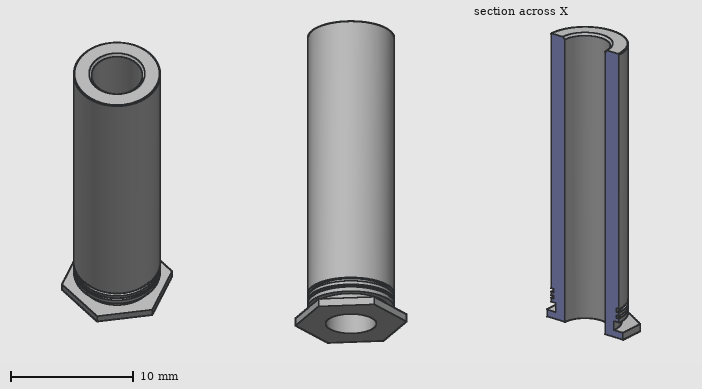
import cadquery as cq
import math

total_height = 25.4
body_diameter = 7.1
bore_diameter = 4.17

head_across_flats = 7.92
head_thickness = 0.65

neck_diameter = 6.1
neck_height = 0.75
groove_diameter = 6.6
lower_ring_height = 0.38
lower_groove_height = 0.23
upper_ring_height = 0.3
upper_groove_height = 0.3

rim_chamfer = 0.08
bore_mouth_diameter = 4.57
bore_chamfer = (bore_mouth_diameter - bore_diameter) / 2


def hexagonal_head():
    across_corners = head_across_flats / math.cos(math.pi / 6)
    return cq.Workplane("XY").polygon(6, across_corners).extrude(head_thickness)


def stepped_barrel():
    """Stack the neck, rings, grooves and main body on top of the head."""
    lower_sections = [
        (neck_diameter, neck_height),
        (body_diameter, lower_ring_height),
        (groove_diameter, lower_groove_height),
        (body_diameter, upper_ring_height),
        (groove_diameter, upper_groove_height),
    ]
    barrel = cq.Workplane("XY")
    base = head_thickness
    for diameter, height in lower_sections:
        section = cq.Workplane("XY").workplane(offset=base).circle(diameter / 2).extrude(height)
        barrel = barrel.add(section)
        base += height
    body = cq.Workplane("XY").workplane(offset=base).circle(body_diameter / 2)
    body = body.extrude(total_height - base).faces(">Z").edges().chamfer(rim_chamfer)
    return barrel.add(body).combine()


def chamfered_bore():
    """Through bore with a conical mouth at the top, as a cutting solid."""
    bore_radius = bore_diameter / 2
    return (
        cq.Workplane("XZ")
        .lineTo(bore_radius, 0)
        .lineTo(bore_radius, total_height - bore_chamfer)
        .lineTo(bore_mouth_diameter / 2, total_height)
        .lineTo(0, total_height)
        .close()
        .revolve(360, (0, 0, 0), (0, 1, 0))
    )


result = hexagonal_head().union(stepped_barrel()).cut(chamfered_bore())